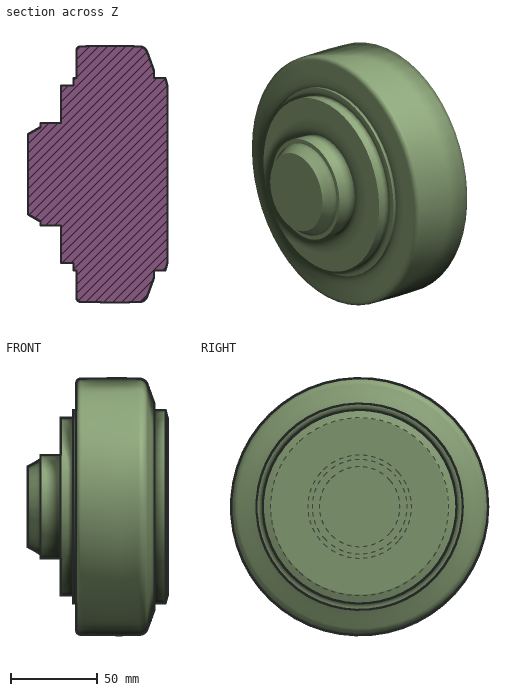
import cadquery as cq
import math

nose_end = 7.3
stub_end = 19.0
hub_end = 26.2
tyre_start = 28.0
tyre_end = 73.3
back_chamfer_start = 79.7
total_length = 81.0

tip_radius = 23.2
nose_radius = 27.4
stub_radius = 30.0
hub_radius = 51.5
collar_radius = 56.0
back_face_radius = 51.1
tyre_radius = 74.5

crown_height = 0.3
front_round = 3.0
back_round = 5.2
back_flank_angle = math.radians(20)
back_round_end = 69.3

edge_radius = tyre_radius - crown_height
tread_start = tyre_start + front_round
tread_end = back_round_end - back_round * math.cos(back_flank_angle)
tread_middle = (tread_start + tread_end) / 2
back_round_center = edge_radius - back_round
flank_start_radius = back_round_center + back_round * math.sin(back_flank_angle)
flank_end_radius = flank_start_radius - (tyre_end - back_round_end) / math.tan(back_flank_angle)


def arc_point(center_x, center_r, radius, angle):
    """Point on a rounding arc, with the angle taken from the +X direction."""
    return (center_x + radius * math.cos(angle), center_r + radius * math.sin(angle))


front_round_middle = arc_point(
    tread_start, edge_radius - front_round, front_round, math.radians(135)
)
back_round_middle = arc_point(
    tread_end, back_round_center, back_round, (math.pi / 2 + back_flank_angle) / 2
)

half_section = (
    cq.Workplane("XY")
    .moveTo(0, 0)
    .lineTo(0, tip_radius)
    .lineTo(nose_end, nose_radius)
    .lineTo(nose_end, stub_radius)
    .lineTo(stub_end, stub_radius)
    .lineTo(stub_end, hub_radius)
    .lineTo(hub_end, hub_radius)
    .lineTo(hub_end, collar_radius)
    .lineTo(tyre_start, collar_radius)
    .lineTo(tyre_start, edge_radius - front_round)
    .threePointArc(front_round_middle, (tread_start, edge_radius))
    .threePointArc((tread_middle, tyre_radius), (tread_end, edge_radius))
    .threePointArc(back_round_middle, (back_round_end, flank_start_radius))
    .lineTo(tyre_end, flank_end_radius)
    .lineTo(tyre_end, collar_radius)
    .lineTo(back_chamfer_start, collar_radius)
    .lineTo(total_length, back_face_radius)
    .lineTo(total_length, 0)
    .close()
)

result = half_section.revolve(360, (0, 0, 0), (1, 0, 0))